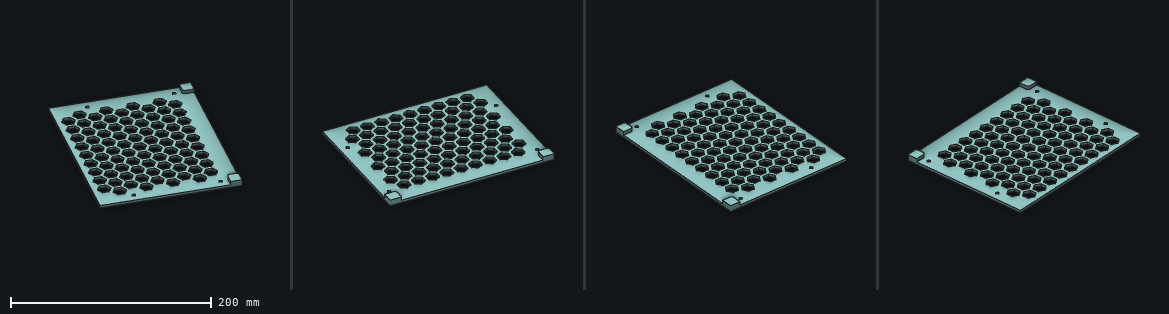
import cadquery as cq
import math

plate_length = 185.0
plate_width = 148.0
total_height = 7.0
plate_thickness = 3.1
back_corner_radius = 1.0

block_length = 13.0
block_width = 12.0
block_height = total_height - plate_thickness
block_corner_radius = 2.8

hole_diameter = 3.5
hole_side_margin = 9.0
back_hole_margin = 20.0
front_hole_margin = 38.0

hexagon_across_flats = 12.0
long_row_count = 10
long_row_span = 144.3
row_count = 9
honeycomb_center_y = -6.0
hexagon_pitch = long_row_span / (long_row_count - 1)
row_pitch = hexagon_pitch * math.sqrt(3) / 2


def honeycomb_centers():
    """Centers of the hexagonal openings; the outermost rows are short ones."""
    centers = []
    for row in range(row_count):
        y = honeycomb_center_y + (row - (row_count - 1) / 2) * row_pitch
        count = long_row_count if row % 2 else long_row_count - 1
        for column in range(count):
            x = (column - (count - 1) / 2) * hexagon_pitch
            centers.append((x, y))
    return centers


def make_corner_block(side):
    """Block in the back corner on the given side (-1 is -X, 1 is +X)."""
    block = (
        cq.Workplane("XY", origin=(0, 0, plate_thickness))
        .center(side * (plate_length - block_length) / 2, (plate_width - block_width) / 2)
        .rect(block_length, block_width)
        .extrude(block_height)
    )
    inner_edge = "|Z and <Y and >X" if side < 0 else "|Z and <Y and <X"
    return block.edges(inner_edge).fillet(block_corner_radius)


def make_hexagon_cutters():
    """Hexagonal prisms with two flats parallel to the Y axis."""
    across_corners = hexagon_across_flats * 2 / math.sqrt(3)
    hexagon = cq.Sketch().regularPolygon(across_corners / 2, 6)
    return (
        cq.Workplane("XY")
        .pushPoints(honeycomb_centers())
        .placeSketch(hexagon)
        .extrude(plate_thickness)
    )


body = cq.Workplane("XY").rect(plate_length, plate_width).extrude(plate_thickness)
for side in (-1, 1):
    body = body.union(make_corner_block(side))
body = body.edges("|Z and >Y and (<X or >X)").fillet(back_corner_radius)

body = body.cut(make_hexagon_cutters())
hole_x = plate_length / 2 - hole_side_margin
back_hole_y = plate_width / 2 - back_hole_margin
front_hole_y = front_hole_margin - plate_width / 2
hole_centers = [(x, y) for x in (-hole_x, hole_x) for y in (back_hole_y, front_hole_y)]
screw_holes = (
    cq.Workplane("XY")
    .pushPoints(hole_centers)
    .circle(hole_diameter / 2)
    .extrude(plate_thickness)
)
result = body.cut(screw_holes)